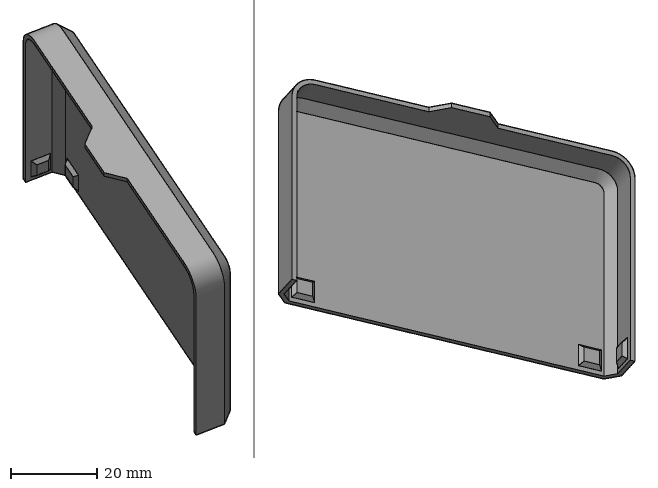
import cadquery as cq

width = 88.1
height = 55.2
total_depth = 14.4
tab_length = 4.0
body_depth = total_depth - tab_length
wall = 1.2
corner_radius = 6.0
outer_chamfer = 3.1
inner_chamfer = 2.4

tab_base_width = 17.8
tab_tip_width = 9.9

pad_rise = 1.0
pad_side_angle = 45
pad_height = 5.7
panel_pad_width = 5.9
side_pad_width = 5.0
pad_center_z = 4.05
panel_pad_inset = 7.2
side_pad_setback = 4.0


def arched_block(block_width, block_height, depth, radius, chamfer):
    """Block with rounded top corners and its rear edge bevelled, except along the open bottom."""
    block = (
        cq.Workplane("XY")
        .box(block_width, depth, block_height, centered=(True, False, False))
        .edges("|Y and >Z")
        .fillet(radius)
    )
    bottom_rear_edge = block.faces(">Y").edges("<Z")
    rear_edges = block.faces(">Y").edges().filter(
        lambda edge: not edge.isSame(bottom_rear_edge.val())
    )
    return rear_edges.chamfer(chamfer)


def make_shell():
    outer = arched_block(width, height, body_depth, corner_radius, outer_chamfer)
    cavity = arched_block(
        width - 2 * wall, height - wall, body_depth - wall, corner_radius - wall, inner_chamfer
    )
    return outer.cut(cavity)


def make_tab():
    half_base = tab_base_width / 2
    half_tip = tab_tip_width / 2
    outline = [
        (-half_base, wall),
        (-half_base, 0),
        (-half_tip, -tab_length),
        (half_tip, -tab_length),
        (half_base, 0),
        (half_base, wall),
    ]
    return cq.Workplane("XY", origin=(0, 0, height - wall)).polyline(outline).close().extrude(wall)


def make_pad(center, outward, pad_width):
    """Tapered pad rising from a vertical surface along the outward direction."""
    horizontal = cq.Vector(0, 0, 1).cross(cq.Vector(*outward))
    base = cq.Plane(origin=center, xDir=horizontal.toTuple(), normal=outward)
    return cq.Workplane(base).rect(pad_width, pad_height).extrude(pad_rise, taper=pad_side_angle)


result = make_shell().union(make_tab())
for side in (-1, 1):
    panel_center = (side * (width / 2 - panel_pad_inset), body_depth - wall, pad_center_z)
    wall_center = (side * (width / 2 - wall), side_pad_setback, pad_center_z)
    result = result.union(make_pad(panel_center, (0, -1, 0), panel_pad_width))
    result = result.union(make_pad(wall_center, (-side, 0, 0), side_pad_width))